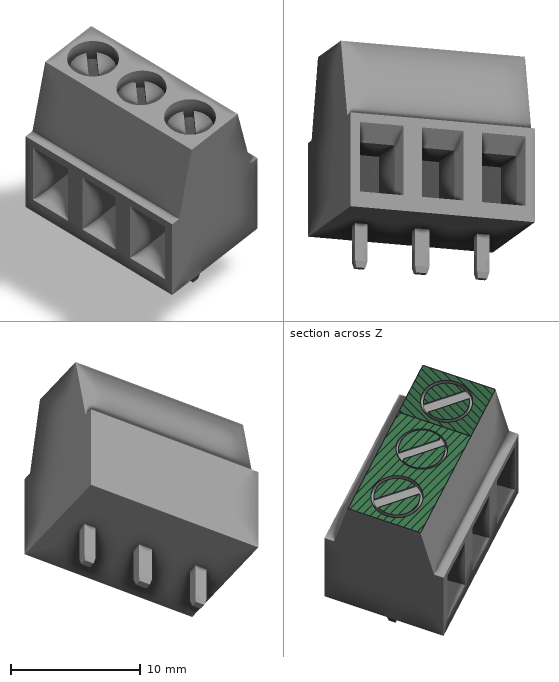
import cadquery as cq


total_length = 15.1
block_length = 10.19
pole_pitch = 5.09
poles_per_block = 2
block_offset = total_length - block_length
first_pole_x = (block_length - (poles_per_block - 1) * pole_pitch) / 2

housing_depth = 10.0
shoulder_depth = 8.4
top_depth = 5.4
shoulder_height = 7.5
housing_height = 13.8

mouth_width = 3.58
mouth_bottom = 1.25
mouth_top = 6.8
pocket_width = 3.01
pocket_bottom = 1.5
pocket_top = 5.52
mouth_depth = 1.28
pocket_end_y = 0.0

recess_radius = 2.0
head_radius = 1.8
head_sink = 1.0
head_thickness = 1.0
slot_width = 0.8
slot_depth = 0.7
slot_angle = -45

total_height = 17.3
pin_length = total_height - housing_height
pin_width = 1.0
pin_thickness = 0.8
pin_y = 0.2
tip_length = 0.5
tip_inset = 0.12


def housing():
    """Stepped housing profile extruded along X from X = 0."""
    half_base = housing_depth / 2
    half_shoulder = shoulder_depth / 2
    half_top = top_depth / 2
    outline = [
        (-half_base, 0),
        (half_base, 0),
        (half_base, shoulder_height),
        (half_shoulder, shoulder_height),
        (half_top, housing_height),
        (-half_top, housing_height),
        (-half_shoulder, shoulder_height),
        (-half_base, shoulder_height),
    ]
    return cq.Workplane("YZ").polyline(outline).close().extrude(block_length)


def upright_rectangle(width, bottom, top, y):
    """Rectangular wire in a plane of constant Y, centred on X = 0."""
    half = width / 2
    corners = [(-half, bottom), (half, bottom), (half, top), (-half, top)]
    return cq.Wire.makePolygon([cq.Vector(x, y, z) for x, z in corners], close=True)


def wire_opening():
    """Space of one wire opening: tapered mouth and straight pocket."""
    front_y = -housing_depth / 2
    pocket_y = front_y + mouth_depth
    mouth_rim = upright_rectangle(mouth_width, mouth_bottom, mouth_top, front_y)
    pocket_rim = upright_rectangle(pocket_width, pocket_bottom, pocket_top, pocket_y)
    pocket_end = upright_rectangle(pocket_width, pocket_bottom, pocket_top, pocket_end_y)
    mouth = cq.Solid.makeLoft([mouth_rim, pocket_rim], True)
    pocket = cq.Solid.makeLoft([pocket_rim, pocket_end], True)
    return cq.Workplane(mouth).union(cq.Workplane(pocket))


def screw_recess():
    """Space above and around one slotted screw head, including the slot."""
    head_z = housing_height - head_sink
    floor_z = head_z - head_thickness
    floor_plane = cq.Workplane().workplane(offset=floor_z)
    recess = floor_plane.circle(recess_radius).extrude(head_sink + head_thickness)
    head = floor_plane.circle(head_radius).extrude(head_thickness)
    slot = (
        cq.Workplane()
        .workplane(offset=head_z - slot_depth)
        .rect(2 * recess_radius, slot_width)
        .extrude(slot_depth)
        .rotate((0, 0, 0), (0, 0, 1), slot_angle)
    )
    return recess.cut(head.cut(slot))


def solder_pin():
    """Flat pin below the housing with a tip tapered on all four sides."""
    shank_length = pin_length - tip_length
    shank = cq.Workplane().rect(pin_width, pin_thickness).extrude(-shank_length)
    tip = (
        cq.Workplane()
        .workplane(offset=-shank_length)
        .rect(pin_width, pin_thickness)
        .workplane(offset=-tip_length)
        .rect(pin_width - 2 * tip_inset, pin_thickness - 2 * tip_inset)
        .loft(ruled=True)
    )
    return shank.union(tip).translate((0, pin_y, 0))


def two_pole_block(start_x):
    """Complete two-pole block whose left end is at start_x."""
    block = housing()
    for pole in range(poles_per_block):
        place = (first_pole_x + pole * pole_pitch, 0, 0)
        block = block.cut(wire_opening().translate(place))
        block = block.cut(screw_recess().translate(place))
        block = block.union(solder_pin().translate(place))
    return block.translate((start_x, 0, 0))


def space_right_of_left_block():
    """Box that covers everything beyond the right end of the left block."""
    return (
        cq.Workplane()
        .box(block_offset, housing_depth, pin_length + housing_height, centered=(False, True, False))
        .translate((block_length, 0, -pin_length))
    )


end_space = space_right_of_left_block()
full_right_block = two_pole_block(block_offset)
shared_pole = full_right_block.cut(end_space)

left_block = two_pole_block(0).union(shared_pole, clean=False).solids()
right_block = full_right_block.intersect(end_space).solids()

result = cq.Compound.makeCompound([left_block.val(), right_block.val()])